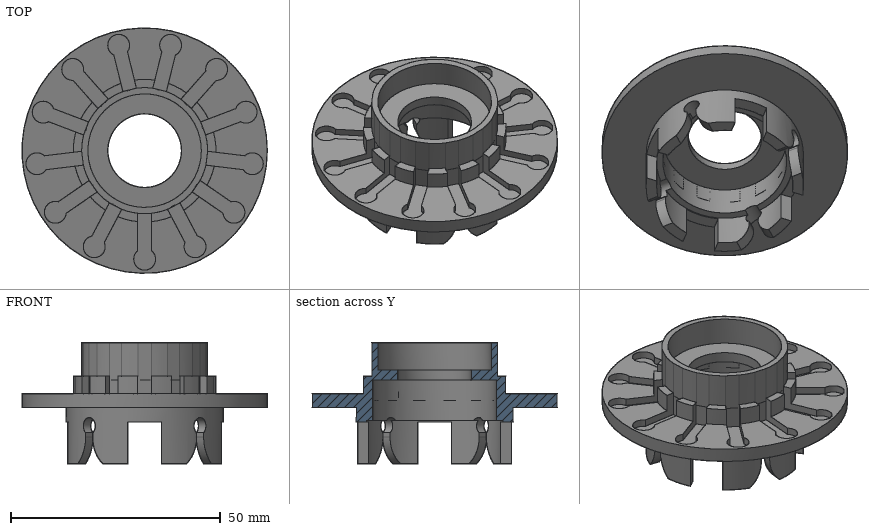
import cadquery as cq
import math

total_height = 28.9
ledge_height = 10.3
flange_bottom = 13.4
flange_top = 16.75
collar_top = 20.9
web_bottom = 19.95
web_top = 22.4

flange_diameter = 58.5
skirt_diameter = 37.5
collar_diameter = 34.0
drum_diameter = 30.0
cup_diameter = 27.0
web_hole_diameter = 17.5
body_bore_diameter = 29.5
leg_bore_diameter = 32.45

slot_count = 13
slot_width = 3.35
slot_depth = 1.7
slot_inner_radius = 14.9
slot_end_diameter = 5.2
slot_end_radius = 25.85

window_count = 4
window_width = 7.95
window_height = 9.95
relief_hole_diameter = 4.0
relief_hole_height = 9.0
relief_slit_width = 2.35
relief_flare_radius = 8.3
relief_mouth_width = 8.4


def cylinder(diameter, bottom, top):
    """Solid cylinder on the Z axis between two heights."""
    return cq.Workplane("XY").workplane(offset=bottom).circle(diameter / 2).extrude(top - bottom)


def turned_body():
    """Flange with skirt, collar, drum and the stepped central bore."""
    body = (
        cylinder(skirt_diameter, 0, flange_bottom)
        .union(cylinder(flange_diameter, flange_bottom, flange_top))
        .union(cylinder(collar_diameter, flange_top, collar_top))
        .union(cylinder(drum_diameter, flange_top, total_height))
    )
    return (
        body.cut(cylinder(leg_bore_diameter, 0, ledge_height))
        .cut(cylinder(body_bore_diameter, ledge_height, web_bottom))
        .cut(cylinder(web_hole_diameter, web_bottom, web_top))
        .cut(cylinder(cup_diameter, web_top, total_height))
    )


def keyhole_slot():
    """Cutter along -Y: a straight slot with a round outer end, open to the top of the drum."""
    floor = flange_top - slot_depth
    slot_length = slot_end_radius - slot_inner_radius
    cut_height = total_height - floor
    plane = cq.Workplane("XY").workplane(offset=floor)
    straight = (
        plane.center(0, -slot_inner_radius - slot_length / 2)
        .rect(slot_width, slot_length)
        .extrude(cut_height)
    )
    round_end = plane.center(0, -slot_end_radius).circle(slot_end_diameter / 2).extrude(cut_height)
    return straight.union(round_end)


def leg_window():
    """Rectangular cutter through the skirt on the -Y side."""
    return cq.Workplane("XY").box(
        window_width, skirt_diameter, window_height, centered=(True, False, False)
    ).translate((0, -skirt_diameter, 0))


def leg_relief():
    """Cutter along -Y: a round hole above a slit that flares out at the lower end."""
    half_slit = relief_slit_width / 2
    half_mouth = relief_mouth_width / 2
    flare_run = half_mouth - half_slit
    flare_top = math.sqrt(relief_flare_radius**2 - (relief_flare_radius - flare_run) ** 2)
    plane = cq.Workplane("XZ")
    slit = (
        plane.moveTo(-half_mouth, 0)
        .lineTo(half_mouth, 0)
        .radiusArc((half_slit, flare_top), relief_flare_radius)
        .lineTo(half_slit, relief_hole_height)
        .lineTo(-half_slit, relief_hole_height)
        .lineTo(-half_slit, flare_top)
        .radiusArc((-half_mouth, 0), relief_flare_radius)
        .close()
        .extrude(skirt_diameter)
    )
    hole = plane.center(0, relief_hole_height).circle(relief_hole_diameter / 2).extrude(skirt_diameter)
    return slit.union(hole)


def cut_around(body, cutter, count, start_angle=0):
    """Cut equally spaced copies of a cutter around the Z axis."""
    for index in range(count):
        angle = start_angle + index * 360 / count
        body = body.cut(cutter.rotate((0, 0, 0), (0, 0, 1), angle))
    return body


result = turned_body()
result = cut_around(result, keyhole_slot(), slot_count)
result = cut_around(result, leg_window(), window_count)
result = cut_around(result, leg_relief(), window_count, start_angle=180 / window_count)